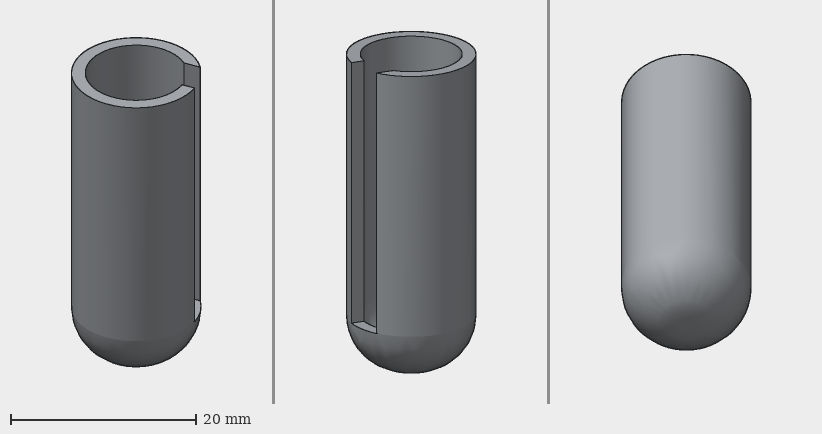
import cadquery as cq

outer_radius = 7.0
wall = 1.5
height = 36.0
tip_flat_radius = 1.0
slot_width = 4.0

inner_radius = outer_radius - wall
outer_round = outer_radius - tip_flat_radius
inner_round = inner_radius - tip_flat_radius
slot_floor = outer_round


def rounded_plug(radius, round_radius, base):
    """Upright cylinder from base to the open end, with its lower edge rounded."""
    plug = cq.Workplane("XY").workplane(offset=base).circle(radius).extrude(height - base)
    return plug.faces("<Z").edges().fillet(round_radius)


def side_slot():
    """Slot through the +X wall, open at the top, with one side on the XZ plane."""
    return cq.Workplane("XY").box(
        outer_radius, slot_width, height - slot_floor, centered=False
    ).translate((0, 0, slot_floor))


outer_body = rounded_plug(outer_radius, outer_round, 0)
cavity = rounded_plug(inner_radius, inner_round, wall)
result = outer_body.cut(cavity).cut(side_slot())